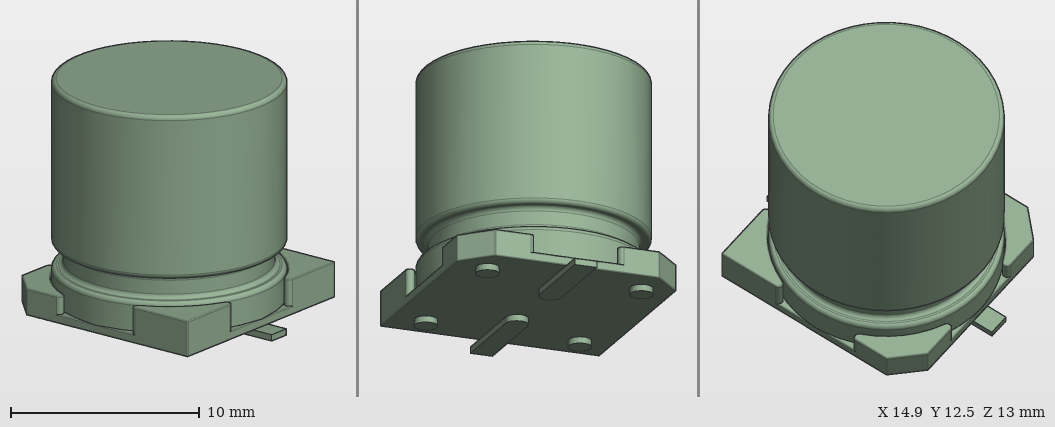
import cadquery as cq
import math

height = 13.0
base_bottom = 0.36
floor_top = 0.85
low_post_top = 1.85
high_post_top = 2.35
groove_bottom = 2.55
groove_top = 3.83

can_diameter = 12.5
neck_diameter = 11.25
can_round = 0.25

base_width = can_diameter
corner_chamfer = 1.56
post_gap = 0.06
post_tip_round = 0.25
edge_round = 0.05

lead_span = 14.9
lead_width = 1.25
lead_inner_gap = 3.56
foot_diameter = 1.25
foot_spacing = 8.79

can_radius = can_diameter / 2
half_base = base_width / 2
diagonal = math.sqrt(0.5)


def make_can():
    """Revolved can with rounded rims and a crimped groove near its bottom end."""
    neck_radius = neck_diameter / 2
    rim = can_radius - can_round
    root = neck_radius + can_round
    bulge = can_round * diagonal
    lower_lip = groove_bottom - can_round
    neck_bottom = groove_bottom + can_round
    neck_top = groove_top - can_round
    upper_lip = groove_top + can_round
    shoulder = height - can_round
    can_bottom = floor_top - edge_round

    profile = (
        cq.Workplane("XZ")
        .moveTo(0, can_bottom)
        .lineTo(can_radius, can_bottom)
        .lineTo(can_radius, lower_lip)
        .threePointArc((rim + bulge, lower_lip + bulge), (rim, groove_bottom))
        .lineTo(root, groove_bottom)
        .threePointArc((root - bulge, neck_bottom - bulge), (neck_radius, neck_bottom))
        .lineTo(neck_radius, neck_top)
        .threePointArc((root - bulge, neck_top + bulge), (root, groove_top))
        .lineTo(rim, groove_top)
        .threePointArc((rim + bulge, upper_lip - bulge), (can_radius, upper_lip))
        .lineTo(can_radius, shoulder)
        .threePointArc((rim + bulge, shoulder + bulge), (rim, height))
        .lineTo(0, height)
        .close()
    )
    return profile.revolve(360, (0, 0, 0), (0, 1, 0))


def make_slab(bottom, top):
    """Square block with the two -X corners cut off and all upright edges softened."""
    slab = cq.Workplane("XY").workplane(offset=bottom).rect(base_width, base_width).extrude(top - bottom)
    slab = slab.edges("|Z and <X").chamfer(corner_chamfer)
    return slab.edges("|Z").fillet(edge_round)


def make_floor():
    """Base plate under the can, softened around its top and bottom."""
    return make_slab(base_bottom, floor_top).faces("<Z or >Z").edges().fillet(edge_round)


def make_post(x_side, y_side, top):
    """Corner post curving around the can, with round tips tangent to the base sides."""
    inner_radius = can_radius + post_gap
    tip_far = half_base - post_tip_round
    tip_near = math.sqrt((inner_radius + post_tip_round) ** 2 - tip_far ** 2)
    tip_end = tip_near - post_tip_round
    contact_scale = inner_radius / (inner_radius + post_tip_round)
    contact_far = tip_far * contact_scale
    contact_near = tip_near * contact_scale
    arc_middle = inner_radius * diagonal
    bottom = (base_bottom + floor_top) / 2

    def corner(x, y):
        return (x_side * x, y_side * y)

    outline = (
        cq.Workplane("XY")
        .workplane(offset=bottom)
        .moveTo(*corner(tip_near, half_base))
        .lineTo(*corner(half_base, half_base))
        .lineTo(*corner(half_base, tip_near))
        .threePointArc(corner(tip_far, tip_end), corner(contact_far, contact_near))
        .threePointArc(corner(arc_middle, arc_middle), corner(contact_near, contact_far))
        .threePointArc(corner(tip_end, tip_far), corner(tip_near, half_base))
        .close()
    )
    post = outline.extrude(top - bottom).intersect(make_slab(bottom, top))
    return post.faces(">Z").edges().fillet(edge_round)


def make_base():
    """Floor plate with low posts on the -X corners and high posts on the +X corners."""
    base = make_floor()
    for y_side in (-1, 1):
        base = base.union(make_post(-1, y_side, low_post_top))
        base = base.union(make_post(1, y_side, high_post_top))
    return base


def make_lead(x_side):
    """Flat lead reaching out past the base, with a round inner end."""
    half_width = lead_width / 2
    outer_end = x_side * lead_span / 2
    inner_end = x_side * lead_inner_gap / 2
    round_centre = inner_end + x_side * half_width
    return (
        cq.Workplane("XY")
        .moveTo(round_centre, -half_width)
        .lineTo(outer_end, -half_width)
        .lineTo(outer_end, half_width)
        .lineTo(round_centre, half_width)
        .threePointArc((inner_end, 0), (round_centre, -half_width))
        .close()
        .extrude(base_bottom)
    )


def make_feet():
    """Four round feet under the base."""
    return (
        cq.Workplane("XY")
        .rect(foot_spacing, foot_spacing, forConstruction=True)
        .vertices()
        .circle(foot_diameter / 2)
        .extrude(base_bottom)
    )


result = make_base().union(make_can()).union(make_feet())
for side in (-1, 1):
    result = result.union(make_lead(side))